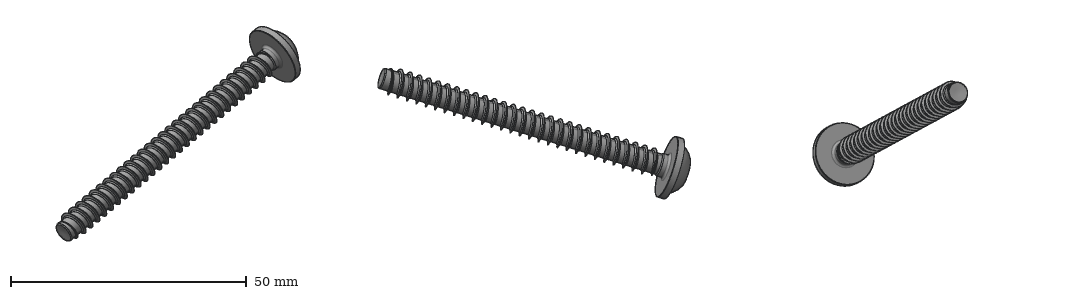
import cadquery as cq
import math

total_length = 69.2
head_height = 4.3
shank_length = total_length - head_height

flange_radius = 6.75
flange_thickness = 1.5
flange_chamfer = 0.105
dome_base_radius = 5.6
dome_top_radius = 3.2
dome_bulge = 0.35

core_radius = 2.25
neck_radius = 2.5
neck_length = 1.5
neck_taper_length = 0.3
neck_flare = 0.55
tip_chamfer_radial = 0.15
tip_chamfer_length = 0.3
tip_dimple_depth = 0.2

thread_start = 1.25
tip_clearance = 0.55
thread_turns = 29.5
fade_turns = 1.0
thread_pitch = (shank_length - thread_start - tip_clearance) / thread_turns
thread_base_radius = 2.15
faded_scale = 0.1

foot = (thread_base_radius, 0.66)
flank_bend = (2.5, 0.2)
crest = (3.05, 0.035)


def make_body():
    """Revolve the head, neck, core and tip about the Y axis."""
    dome_height = head_height - flange_thickness
    chord_radial = dome_base_radius - dome_top_radius
    chord = math.hypot(chord_radial, dome_height)
    dome_middle = (
        (dome_base_radius + dome_top_radius) / 2 + dome_bulge * dome_height / chord,
        flange_thickness + dome_height / 2 + dome_bulge * chord_radial / chord,
    )
    profile = (
        cq.Workplane("XY")
        .moveTo(0, head_height)
        .lineTo(dome_top_radius, head_height)
        .threePointArc(dome_middle, (dome_base_radius, flange_thickness))
        .lineTo(flange_radius, flange_thickness)
        .lineTo(flange_radius, flange_chamfer)
        .lineTo(flange_radius - flange_chamfer, 0)
        .lineTo(neck_radius + neck_flare, 0)
        .radiusArc((neck_radius, -neck_flare), -neck_flare)
        .lineTo(neck_radius, -neck_length)
        .lineTo(core_radius, -neck_length - neck_taper_length)
        .lineTo(core_radius, -shank_length + tip_chamfer_length)
        .lineTo(core_radius - tip_chamfer_radial, -shank_length)
        .lineTo(0, -shank_length + tip_dimple_depth)
        .close()
    )
    return profile.revolve(360, (0, 0, 0), (0, 1, 0))


def make_helix(start, end, turns):
    """Right-hand helix about Z that starts and ends at the given (radius, height)."""
    rise = end[1] - start[1]
    pitch = rise / turns
    if start[0] == end[0]:
        helix = cq.Wire.makeHelix(pitch, rise, start[0])
    else:
        slope = math.atan2(end[0] - start[0], rise)
        stretch = 1 / math.cos(slope)
        helix = cq.Wire.makeHelix(
            pitch * stretch, rise * stretch, start[0], angle=math.degrees(slope)
        )
    return helix.translate(cq.Vector(0, 0, start[1]))


def ridge_section(scale, height):
    """Corners of the ridge section at a given height, scaled about its base in the core."""
    flank = [
        (thread_base_radius + scale * (radius - thread_base_radius), scale * half_width)
        for radius, half_width in (foot, flank_bend, crest)
    ]
    near_side = [(radius, height - half_width) for radius, half_width in flank]
    far_side = [(radius, height + half_width) for radius, half_width in reversed(flank)]
    return near_side + far_side


def make_ridge(start_scale, end_scale, first_turn, turns):
    """Solid stretch of thread whose section scales evenly from start to end."""
    start_section = ridge_section(start_scale, 0)
    end_section = ridge_section(end_scale, turns * thread_pitch)
    edges = [make_helix(start, end, turns) for start, end in zip(start_section, end_section)]
    faces = [cq.Face.makeRuledSurface(edges[i - 1], edges[i]) for i in range(len(edges))]
    for end in (0, 1):
        corners = [edge.positionAt(end) for edge in edges]
        faces.append(cq.Face.makeFromWires(cq.Wire.makePolygon(corners, close=True)))
    ridge = cq.Solid.makeSolid(cq.Shell.makeShell(faces))
    ridge = ridge.rotate(cq.Vector(), cq.Vector(0, 0, 1), 360 * first_turn)
    ridge = ridge.translate(cq.Vector(0, 0, thread_start + first_turn * thread_pitch))
    return ridge.rotate(cq.Vector(), cq.Vector(1, 0, 0), 90)


run_out_start = thread_turns - fade_turns

screw = make_body()
for ridge in (
    make_ridge(faded_scale, 1, 0, fade_turns),
    make_ridge(1, 1, fade_turns, run_out_start - fade_turns),
    make_ridge(1, faded_scale, run_out_start, fade_turns),
):
    screw = screw.union(cq.Workplane(obj=ridge))

result = cq.Workplane(obj=screw.solids().val())